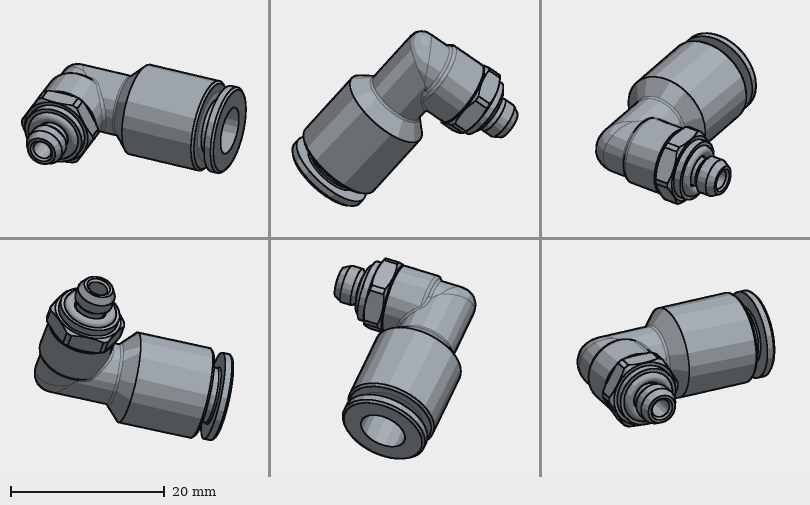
import cadquery as cq
import math


elbow_radius = 8.0 / 2
collar_radius = 9.0 / 2
collar_round = collar_radius - elbow_radius
collar_top_y = -1.28
collar_end_y = -6.5
collar_end_chamfer_radial = 0.1
collar_end_chamfer_length = 0.2
blend_radius = 0.4

body_radius = 12.0 / 2
body_start_x = 8.0
body_end_x = 18.05
body_end_chamfer = 0.3
end_cone_radius = 4.6
end_cone_length = 0.17
shoulder_x = body_start_x - (body_radius - elbow_radius)
shoulder_blend_radius = 0.5
pipe_end_x = shoulder_x - shoulder_blend_radius

neck_radius = 7.3 / 2
release_radius = 11.5 / 2
release_start_x = 19.5
release_end_x = 20.7
release_chamfer = 0.3
neck_flare_length = 0.25
neck_flare_height = 0.15

hex_across_flats = 9.0
hex_corner_radius = 10.0 / 2
hex_top_y = collar_end_y
hex_end_y = -9.0
hex_face_radius = 4.45
hex_chamfer_angle = 30.0

flange_radius = 8.0 / 2
flange_end_y = -10.0
seal_outer_radius = 7.0 / 2
seal_section_radius = 0.7
thread_radius = 5.0 / 2
relief_radius = 3.9 / 2
tip_radius = relief_radius
relief_end_y = -11.0
thread_end_y = -13.0
stem_end_y = -14.0

stem_bore_radius = 2.5 / 2
stem_bore_chamfer = 0.3
cross_bore_radius = 4.0 / 2
cross_bore_start_x = -cross_bore_radius
socket_radius = 6.15 / 2

tolerance = 0.001
origin = (0, 0, 0)
x_direction = (1, 0, 0)
y_direction = (0, 1, 0)
z_direction = (0, 0, 1)


def revolve_about_x(outline):
    """Revolve an (x, radius) outline about the tube axis."""
    return cq.Workplane("XY").polyline(outline).close().revolve(360, origin, x_direction)


def revolve_about_y(outline):
    """Revolve a (radius, y) outline about the stem axis."""
    return cq.Workplane("XY").polyline(outline).close().revolve(360, origin, y_direction)


def cylinder_x(radius, start_x, end_x):
    return cq.Workplane("YZ", origin=(start_x, 0, 0)).circle(radius).extrude(end_x - start_x)


def cylinder_y(radius, top_y, end_y):
    return cq.Workplane("XZ", origin=(0, top_y, 0)).circle(radius).extrude(top_y - end_y)


def sector(outline):
    """Prism over an XY outline, as tall as the elbow."""
    return cq.Workplane("XY").polyline(outline).close().extrude(elbow_radius, both=True)


def make_rounded_corner():
    """Outer corner of the elbow: an ellipsoid wedge that meets both pipes smoothly.

    A 60 degree wedge of a unit ball, stretched by sqrt(3/2) along the outward
    diagonal and sqrt(1/2) across it, is tangent to both pipes along its flat sides.
    """
    wedge_angle = 60
    ball = cq.Solid.makeSphere(1, angleDegrees1=-90, angleDegrees2=90, angleDegrees3=wedge_angle)
    wedge = ball.rotate(origin, z_direction, -wedge_angle / 2)
    along = elbow_radius * math.sqrt(3 / 2)
    across = elbow_radius * math.sqrt(1 / 2)
    stretch = cq.Matrix([[along, 0, 0, 0], [0, across, 0, 0], [0, 0, elbow_radius, 0]])
    outward_diagonal_angle = 135
    corner = wedge.transformGeometry(stretch).rotate(origin, z_direction, outward_diagonal_angle)
    return cq.Workplane(corner)


def make_elbow():
    """Two equal pipes mitred at the origin, with a rounded outer corner."""
    far = 2 * body_start_x
    tube_sector = sector([(0, 0), (-far / 2, far), (far, far), (far, -far)])
    stem_sector = sector([(0, 0), (-far, far / 2), (-far, -far), (far, -far)])
    tube_pipe = cylinder_x(elbow_radius, -elbow_radius, pipe_end_x).intersect(tube_sector)
    stem_pipe = cylinder_y(elbow_radius, elbow_radius, collar_end_y).intersect(stem_sector)
    return tube_pipe.union(stem_pipe).union(make_rounded_corner())


def lies_on_pipe(edge):
    """True for the edges where the collar comes out of the elbow pipes."""
    middle = edge.positionAt(0.5)
    to_tube_axis = math.hypot(middle.y, middle.z)
    to_stem_axis = math.hypot(middle.x, middle.z)
    on_surface = min(abs(to_tube_axis - elbow_radius), abs(to_stem_axis - elbow_radius)) < tolerance
    return on_surface and middle.y < collar_top_y + tolerance and middle.x < collar_radius


def add_collar(elbow):
    """Thicker stem sleeve with a round top, blended into both pipes."""
    collar = cylinder_y(collar_radius, collar_top_y, collar_end_y)
    collar = collar.faces(">Y").edges().fillet(collar_round)
    joined = elbow.union(collar)
    joined = joined.edges().filter(lies_on_pipe).fillet(blend_radius)
    return joined.faces("<Y").chamfer(collar_end_chamfer_length, collar_end_chamfer_radial)


def make_tube_body():
    """Cone, body, neck and release collar of the push-in side."""
    body = revolve_about_x([
        (pipe_end_x, 0),
        (pipe_end_x, elbow_radius),
        (shoulder_x, elbow_radius),
        (body_start_x, body_radius),
        (body_end_x - body_end_chamfer, body_radius),
        (body_end_x, body_radius - body_end_chamfer),
        (body_end_x, end_cone_radius),
        (body_end_x + end_cone_length, neck_radius),
        (release_start_x - neck_flare_length, neck_radius),
        (release_start_x, neck_radius + neck_flare_height),
        (release_start_x, release_radius),
        (release_end_x - release_chamfer, release_radius),
        (release_end_x, release_radius - release_chamfer),
        (release_end_x, 0),
    ])
    inner_corner = cq.selectors.BoxSelector(
        (shoulder_x - tolerance, -body_radius, -body_radius),
        (shoulder_x + tolerance, body_radius, body_radius),
    )
    return body.edges(inner_corner).fillet(shoulder_blend_radius)


def make_hexagon():
    """Wrench hexagon with turned corners and 30 degree chamfers on both ends."""
    across_corners = hex_across_flats / math.cos(math.radians(30))
    hex_plane = cq.Workplane("XZ", origin=(0, hex_top_y, 0))
    prism = hex_plane.polygon(6, across_corners).extrude(hex_top_y - hex_end_y)
    chamfer_length = (hex_corner_radius - hex_face_radius) * math.tan(math.radians(hex_chamfer_angle))
    turned = revolve_about_y([
        (0, hex_top_y),
        (hex_face_radius, hex_top_y),
        (hex_corner_radius, hex_top_y - chamfer_length),
        (hex_corner_radius, hex_end_y + chamfer_length),
        (hex_face_radius, hex_end_y),
        (0, hex_end_y),
    ])
    return prism.intersect(turned)


def make_stem():
    """Core of the hexagon, flange, relief groove and thread with a tapered tip."""
    return revolve_about_y([
        (0, hex_top_y),
        (flange_radius, hex_top_y),
        (flange_radius, flange_end_y),
        (relief_radius, flange_end_y),
        (relief_radius, relief_end_y),
        (thread_radius, relief_end_y - (thread_radius - relief_radius)),
        (thread_radius, thread_end_y),
        (tip_radius, stem_end_y),
        (0, stem_end_y),
    ])


def make_seal_ring():
    """O-ring half sunk into the end of the flange."""
    centre_radius = seal_outer_radius - seal_section_radius
    section = cq.Workplane("XY").center(centre_radius, flange_end_y).circle(seal_section_radius)
    return section.revolve(360, (-centre_radius, 0, 0), (-centre_radius, 1, 0))


def make_bores():
    """Stem bore with a chamfered mouth, cross bore and tube socket."""
    mouth_radius = stem_bore_radius + stem_bore_chamfer
    stem_bore = revolve_about_y([
        (0, 0),
        (stem_bore_radius, 0),
        (stem_bore_radius, stem_end_y + stem_bore_chamfer),
        (mouth_radius, stem_end_y),
        (0, stem_end_y),
    ])
    cross_bore = cylinder_x(cross_bore_radius, cross_bore_start_x, release_end_x)
    socket = cylinder_x(socket_radius, body_start_x, release_end_x)
    return stem_bore.union(cross_bore).union(socket)


outside = add_collar(make_elbow())
for piece in (make_tube_body(), make_hexagon(), make_stem(), make_seal_ring()):
    outside = outside.union(piece)
result = outside.cut(make_bores())